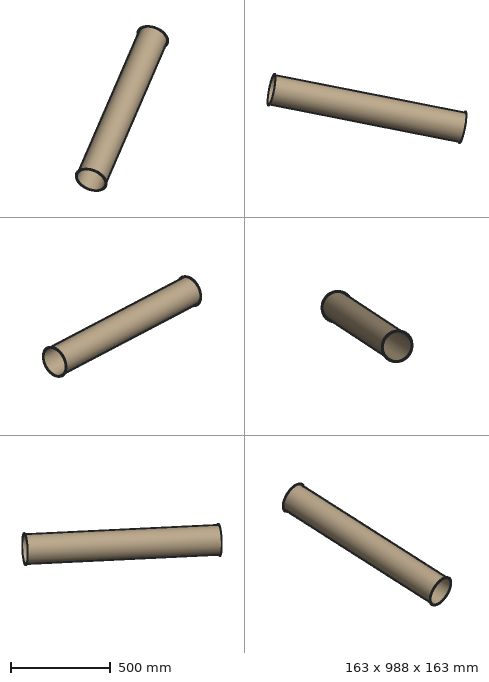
import cadquery as cq

length = 988.0
bore_diameter = 149.0
tube_diameter = 151.0
flange_diameter = 163.0
flange_thickness = 1.0


def cylinder_along_y(diameter, start, depth):
    """Solid cylinder on the Y axis, growing toward +Y from start."""
    plane = cq.Plane(origin=(0, start, 0), xDir=(1, 0, 0), normal=(0, 1, 0))
    return cq.Workplane(plane).circle(diameter / 2).extrude(depth)


result = cylinder_along_y(tube_diameter, -length / 2, length)
for flange_start in (-length / 2, length / 2 - flange_thickness):
    result = result.union(cylinder_along_y(flange_diameter, flange_start, flange_thickness))

result = result.cut(cylinder_along_y(bore_diameter, -length / 2, length))